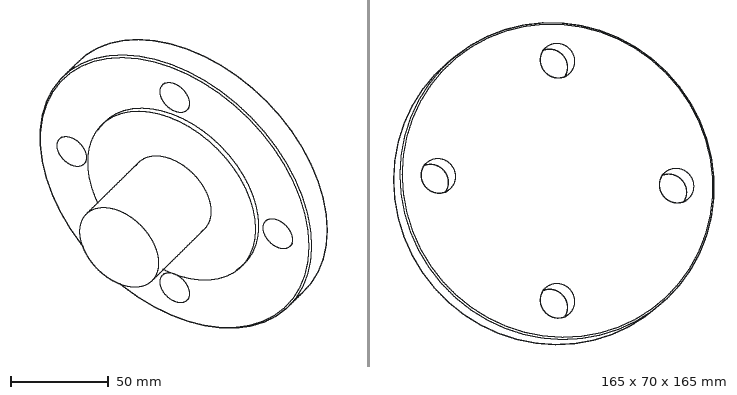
import cadquery as cq
import math

flange_diameter = 165.0
flange_thickness = 17.0
flange_chamfer = 1.0
raised_face_diameter = 102.0
raised_face_height = 3.0
stub_diameter = 48.0
stub_length = 50.0

bolt_hole_diameter = 18.0
bolt_hole_count = 4
bolt_circle_diameter = 125.0

flat_rim_inner_radius = 23.1
wave_joints = [
    (20.1, 25),
    (17.2, -27),
    (13.2, 27),
    (9.7, -25),
    (6.8, 21),
    (4.0, -18),
]
wave_center_radius = 1.5

raised_face_station = flange_thickness + raised_face_height
end_station = raised_face_station + stub_length


def make_flange():
    """Flange disc with both rims chamfered."""
    disc = cq.Workplane("XZ").circle(flange_diameter / 2).extrude(flange_thickness)
    return disc.edges().chamfer(flange_chamfer)


def cylinder_from_back(diameter, length):
    """Cylinder on the part axis, starting at the back of the flange."""
    return cq.Workplane("XZ").circle(diameter / 2).extrude(length)


def wave_arc(profile, start, radius, start_slope, slope):
    """Add an arc going inward to radius, turning from start_slope to slope.

    Slopes are angles of the surface; positive sinks into the stub going inward.
    Returns the extended profile and the end point of the arc.
    """
    start_radius, start_y = start
    width = start_radius - radius
    middle_slope = (start_slope + slope) / 2
    bend_radius = width / (math.sin(slope) - math.sin(start_slope))
    middle = (
        start_radius - bend_radius * (math.sin(middle_slope) - math.sin(start_slope)),
        start_y + bend_radius * (math.cos(start_slope) - math.cos(middle_slope)),
    )
    end = (radius, start_y + bend_radius * (math.cos(start_slope) - math.cos(slope)))
    return profile.threePointArc(middle, end), end


def make_corrugation_cutter():
    """Solid of revolution whose inner side is the corrugated end face."""
    point = (flat_rim_inner_radius, -end_station)
    cutter_front = -end_station - raised_face_height
    profile = cq.Workplane("XY").moveTo(0, cutter_front)
    profile = profile.lineTo(flat_rim_inner_radius, cutter_front).lineTo(*point)
    slope = 0.0
    for radius, slope_degrees in wave_joints:
        next_slope = math.radians(slope_degrees)
        profile, point = wave_arc(profile, point, radius, slope, next_slope)
        slope = next_slope
    profile, point = wave_arc(profile, point, wave_center_radius, slope, 0.0)
    profile = profile.lineTo(0, point[1]).close()
    return profile.revolve(360, (0, 0, 0), (0, 1, 0))


def make_bolt_holes():
    """Through holes on the bolt circle, the first on the +X axis."""
    return (
        cq.Workplane("XZ")
        .polarArray(bolt_circle_diameter / 2, 0, 360, bolt_hole_count)
        .circle(bolt_hole_diameter / 2)
        .extrude(flange_thickness)
    )


result = (
    make_flange()
    .union(cylinder_from_back(raised_face_diameter, raised_face_station))
    .union(cylinder_from_back(stub_diameter, end_station))
    .cut(make_corrugation_cutter())
    .cut(make_bolt_holes())
)